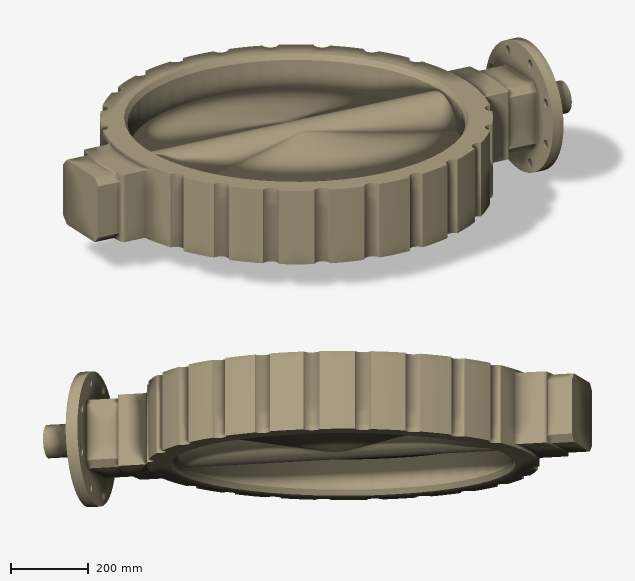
import cadquery as cq
import math


TOTAL_LENGTH = 1439.0

FACE_TO_FACE = 205.0
RING_RADIUS = 1015.0 / 2
NOTCH_PITCH = 15.0
NOTCH_RADIUS = 22.0
NOTCH_CIRCLE_RADIUS = 512.0
NOTCHES_PER_SIDE = 10

BACKING_RADIUS = 489.0
LINER_RADIUS = 472.0
BORE_RADIUS = 436.0
BORE_CHAMFER_WIDTH = 9.0
BORE_CHAMFER_DEPTH = 15.0

BOSS_WIDTH = 205.0
BOSS_HEIGHT = 187.0
BOSS_END_RADIUS = 585.0
BOSS_ROOT_FILLET = 16.0
BOSS_CORNER_FILLET = 9.0

BLOCK_SIZE = 180.0
BLOCK_CHAMFER = 19.0
BLOCK_ROOT_FILLET = 3.0
NECK_FILLET = 5.0
CAP_END = 643.0

FLANGE_RADIUS = 350.0 / 2
FLANGE_START = 663.0
FLANGE_THICKNESS = 32.0
FLANGE_HOLES = 8
FLANGE_HOLE_RADIUS = 12.0
FLANGE_HOLE_CIRCLE_RADIUS = 298.0 / 2

SHAFT_RADIUS = 43.0
SHAFT_TOP = TOTAL_LENGTH - CAP_END
SHAFT_BOTTOM = -547.0

DISC_CENTRE_HALF = 83.0
DISC_RIM_HALF = 9.0
HUB_RADIUS = 86.0
HUB_HALF_LENGTH = 429.0

SELECTION_MARGIN = 1.0


def round_about_bore(radius, height=FACE_TO_FACE):
    """Solid cylinder on the bore axis, centred on mid-height."""
    return cq.Workplane("XY", origin=(0, 0, -height / 2)).circle(radius).extrude(height)


def rod_along_shaft(radius, start, end):
    """Solid cylinder on the shaft axis from Y = start to Y = end."""
    return cq.Workplane("XZ", origin=(0, start, 0)).circle(radius).extrude(start - end)


def boss_pair():
    """Rectangular bosses on both sides, trimmed by the curved end."""
    bar = cq.Workplane("XY").box(BOSS_WIDTH, 2 * BOSS_END_RADIUS, BOSS_HEIGHT)
    bar = bar.intersect(round_about_bore(BOSS_END_RADIUS))
    return bar.edges("|Z").fillet(BOSS_CORNER_FILLET)


def square_bar():
    """Chamfered square bar that forms the neck and the closed end cap."""
    length = FLANGE_START + CAP_END
    bar = cq.Workplane("XY").box(BLOCK_SIZE, length, BLOCK_SIZE)
    bar = bar.edges("|Y").chamfer(BLOCK_CHAMFER)
    return bar.translate((0, (FLANGE_START - CAP_END) / 2, 0))


def actuator_flange():
    flange_end = FLANGE_START + FLANGE_THICKNESS
    flange = rod_along_shaft(FLANGE_RADIUS, FLANGE_START, flange_end)
    for index in range(FLANGE_HOLES):
        angle = math.radians(360 / FLANGE_HOLES * (index + 0.5))
        x = FLANGE_HOLE_CIRCLE_RADIUS * math.cos(angle)
        z = FLANGE_HOLE_CIRCLE_RADIUS * math.sin(angle)
        hole = rod_along_shaft(FLANGE_HOLE_RADIUS, FLANGE_START, flange_end)
        flange = flange.cut(hole.translate((x, 0, z)))
    return flange


def fillet_between(body, half_width, low, high, radius, filter_rule=None):
    """Fillet the edges that lie from Y = low to Y = high and within half_width of the shaft axis."""
    reach = half_width + SELECTION_MARGIN
    corner_low = (-reach, low - SELECTION_MARGIN, -reach)
    corner_high = (reach, high + SELECTION_MARGIN, reach)
    edges = body.edges(cq.selectors.BoxSelector(corner_low, corner_high, boundingbox=True))
    if filter_rule:
        edges = edges.edges(filter_rule)
    return edges.fillet(radius)


def make_shaft():
    return rod_along_shaft(SHAFT_RADIUS, SHAFT_BOTTOM, SHAFT_TOP)


def make_housing(shaft):
    housing = round_about_bore(RING_RADIUS).union(boss_pair())

    root_y = math.sqrt(RING_RADIUS**2 - (BOSS_WIDTH / 2) ** 2)
    for y in (root_y, -root_y):
        housing = fillet_between(housing, FACE_TO_FACE, y, y, BOSS_ROOT_FILLET, "|Z")

    housing = housing.union(square_bar()).union(actuator_flange())
    bar_half = BLOCK_SIZE / 2
    bar_root_y = math.sqrt(BOSS_END_RADIUS**2 - bar_half**2)
    housing = fillet_between(housing, bar_half, FLANGE_START, FLANGE_START, NECK_FILLET)
    for low, high in ((bar_root_y, BOSS_END_RADIUS), (-BOSS_END_RADIUS, -bar_root_y)):
        housing = fillet_between(housing, bar_half, low, high, BLOCK_ROOT_FILLET)

    notch = round_about_bore(NOTCH_RADIUS).translate((NOTCH_CIRCLE_RADIUS, 0, 0))
    for side in (0, 180):
        for index in range(NOTCHES_PER_SIDE):
            angle = side + (index - (NOTCHES_PER_SIDE - 1) / 2) * NOTCH_PITCH
            housing = housing.cut(notch.rotate((0, 0, 0), (0, 0, 1), angle))

    return housing.cut(round_about_bore(BACKING_RADIUS)).cut(shaft)


def make_backing_ring(shaft):
    return round_about_bore(BACKING_RADIUS).cut(round_about_bore(LINER_RADIUS)).cut(shaft)


def make_liner(shaft):
    """Seat with a straight bore, chamfered at both faces."""
    half = FACE_TO_FACE / 2
    mouth_radius = BORE_RADIUS + BORE_CHAMFER_WIDTH
    profile = [
        (LINER_RADIUS, -half),
        (LINER_RADIUS, half),
        (mouth_radius, half),
        (BORE_RADIUS, half - BORE_CHAMFER_DEPTH),
        (BORE_RADIUS, BORE_CHAMFER_DEPTH - half),
        (mouth_radius, -half),
    ]
    liner = cq.Workplane("XZ").polyline(profile).close().revolve(360, (0, 0, 0), (0, 1, 0))
    return liner.cut(shaft)


def make_disc(shaft):
    """Plate with conical faces and a hub along the shaft."""
    profile = [
        (0, -DISC_CENTRE_HALF),
        (BORE_RADIUS, -DISC_RIM_HALF),
        (BORE_RADIUS, DISC_RIM_HALF),
        (0, DISC_CENTRE_HALF),
    ]
    plate = cq.Workplane("XZ").polyline(profile).close().revolve(360, (0, 0, 0), (0, 1, 0))
    hub = rod_along_shaft(HUB_RADIUS, -HUB_HALF_LENGTH, HUB_HALF_LENGTH)
    hub = hub.intersect(round_about_bore(BORE_RADIUS))
    return plate.union(hub).cut(shaft)


shaft = make_shaft()
housing = make_housing(shaft)
backing_ring = make_backing_ring(shaft)
liner = make_liner(shaft)
disc = make_disc(shaft)

result = cq.Compound.makeCompound(
    [housing.val(), backing_ring.val(), liner.val(), disc.val(), shaft.val()]
)